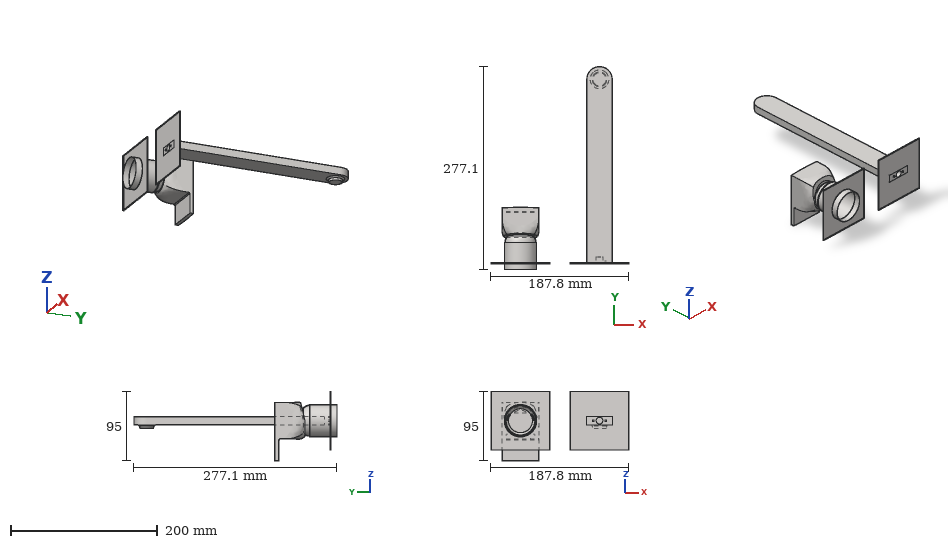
import cadquery as cq
import math


PLATE_SIDE = 80.0
PLATE_THICKNESS = 1.7
PLATE_RECESS = 1.0
PLATE_RIM = 0.15
PLATE_SPACING = 107.8

SLEEVE_RADIUS = 22.2
SLEEVE_WALL = 0.5
SLEEVE_BACK = -8.0
SLEEVE_FRONT = 29.5
NECK_STEP = 0.8
DOME_RADIUS = 12.2
DOME_LENGTH = 11.0
NECK_FLOOR_RADIUS = 16.4

HEAD_FRONT = 76.5
HEAD_SIDE = 50
HEAD_DEPTH = 40.7
HEAD_BACK_RADIUS = 21.5
CORNER_DEPTH = 11.6
FLAT_DEPTH = 25.0
WAIST_DEPTH = 34.5
WAIST_HALF_WIDTH = 25.2
WAIST_CORNER = 20.0
CROWN_HEIGHT = 0.8
BACK_TILT = 13.3
NECK_POCKET_RADIUS = 19.5
NECK_POCKET_DEPTH = 2.2

BLADE_BOTTOM = -55.0
BLADE_THICKNESS = 5.0
BLADE_FILLET = 1.5

SPOUT_WIDTH = 35.0
SPOUT_HEIGHT = 11.0
SPOUT_TIP = 269.1
AERATOR_PROFILE = [(12.8, 0), (10.0, 2.0), (9.1, 5.0)]

INLET_DIAMETER = 9.1
INLET_DEPTH = 8.3
SCREW_HOLE_DIAMETER = 2.5
SCREW_HOLE_DEPTH = 2.8
SCREW_HOLE_OFFSET = 8.5

HEAD_HALF = HEAD_SIDE / 2
HEAD_BACK = HEAD_FRONT - HEAD_DEPTH


def square_slab(side, thickness):
    """Square slab centred on the Y axis, from Y = 0 forward."""
    return cq.Workplane("XY").box(side, thickness, side, centered=(True, False, True))


def wall_plate():
    """Square tray standing on Y = 0, centred on the Y axis."""
    recess = square_slab(PLATE_SIDE - 2 * PLATE_RIM, PLATE_RECESS)
    return square_slab(PLATE_SIDE, PLATE_THICKNESS).cut(recess)


def cylinder_y(radius, y_start, y_end, x=0):
    """Cylinder along Y between two Y positions."""
    axis_point = cq.Vector(x, y_start, 0)
    return cq.Workplane(cq.Solid.makeCylinder(radius, y_end - y_start, axis_point, cq.Vector(0, 1, 0)))


def domed_plug(inset, floor_y):
    """Sleeve-shaped solid with a rounded front, shrunk by an inset and ended flat at floor_y."""
    sleeve = SLEEVE_RADIUS - inset
    neck = sleeve - NECK_STEP
    sleeve_front = SLEEVE_FRONT - inset
    arc_radius = DOME_RADIUS - inset
    arc_centre = neck - arc_radius

    def arc_point(y):
        rise = y - sleeve_front
        return (arc_centre + math.sqrt(arc_radius**2 - rise**2), y)

    return (
        cq.Workplane("XY")
        .moveTo(0, SLEEVE_BACK)
        .lineTo(sleeve, SLEEVE_BACK)
        .lineTo(sleeve, sleeve_front)
        .lineTo(neck, sleeve_front)
        .threePointArc(arc_point((sleeve_front + floor_y) / 2), arc_point(floor_y))
        .lineTo(0, floor_y)
        .close()
        .revolve(360, (0, 0, 0), (0, 1, 0))
    )


def neck_bore():
    """Inside of the sleeve and dome, down to its flat floor."""
    arc_radius = DOME_RADIUS - SLEEVE_WALL
    drop = SLEEVE_RADIUS - SLEEVE_WALL - NECK_STEP - NECK_FLOOR_RADIUS
    floor_rise = math.sqrt(arc_radius**2 - (arc_radius - drop) ** 2)
    return domed_plug(SLEEVE_WALL, SLEEVE_FRONT - SLEEVE_WALL + floor_rise)


def head_blend():
    """Lever head before its back is cut: four flat sides, each ending in a curved blend."""
    back_corner = HEAD_BACK_RADIUS / math.sqrt(2)

    def at(x, depth, z):
        return cq.Vector(x, HEAD_FRONT - depth, z)

    def corner_curve(side):
        points = [
            at(side * HEAD_HALF, CORNER_DEPTH, HEAD_HALF),
            at(side * WAIST_CORNER, WAIST_DEPTH, WAIST_CORNER),
            at(side * back_corner, HEAD_DEPTH, back_corner),
        ]
        return cq.Edge.makeSpline(points)

    left, right = corner_curve(-1), corner_curve(1)
    flat_end = cq.Edge.makeThreePointArc(
        left.startPoint(), at(0, FLAT_DEPTH, HEAD_HALF), right.startPoint()
    )
    back_arc = cq.Edge.makeThreePointArc(
        left.endPoint(), at(0, HEAD_DEPTH, HEAD_BACK_RADIUS), right.endPoint()
    )
    front_left, front_right = at(-HEAD_HALF, 0, HEAD_HALF), at(HEAD_HALF, 0, HEAD_HALF)
    flat_outline = [
        cq.Edge.makeLine(front_left, front_right),
        cq.Edge.makeLine(front_right, right.startPoint()),
        flat_end,
        cq.Edge.makeLine(left.startPoint(), front_left),
    ]
    flat = cq.Face.makeFromWires(cq.Wire.assembleEdges(flat_outline))
    blend = cq.Face.makeNSidedSurface(
        [flat_end, right, back_arc, left], [at(0, WAIST_DEPTH, WAIST_HALF_WIDTH)]
    )

    faces = []
    back_edges = []
    for quarter in range(4):
        turn = (cq.Vector(0, 0, 0), cq.Vector(0, 1, 0), 90 * quarter)
        faces += [flat.rotate(*turn), blend.rotate(*turn)]
        back_edges.append(back_arc.rotate(*turn))
    faces.append(cq.Face.makeFromWires(cq.Wire.assembleEdges(back_edges)))
    front_corners = [front_left, front_right, at(HEAD_HALF, 0, -HEAD_HALF), at(-HEAD_HALF, 0, -HEAD_HALF)]
    faces.append(cq.Face.makeFromWires(cq.Wire.makePolygon(front_corners, close=True)))
    return cq.Workplane(cq.Solid.makeSolid(cq.Shell.makeShell(faces)).fix())


def back_tilt_cutter():
    """Wedge that leans the upper half of the head's back face forward, with a pocket for the neck."""
    wedge_height = HEAD_SIDE
    lean = wedge_height * math.tan(math.radians(BACK_TILT))
    wedge = (
        cq.Workplane("YZ")
        .polyline([(HEAD_BACK, 0), (HEAD_BACK + lean, wedge_height), (HEAD_BACK, wedge_height)])
        .close()
        .extrude(HEAD_SIDE, both=True)
    )
    pocket = cylinder_y(NECK_POCKET_RADIUS, HEAD_BACK, HEAD_BACK + lean).intersect(
        wedge.translate((0, NECK_POCKET_DEPTH, 0))
    )
    return wedge.union(pocket)


def lever():
    """Lever head with its crowned front, and the blade below filleted into it."""
    head = head_blend().cut(back_tilt_cutter())
    blade_back = HEAD_FRONT - BLADE_THICKNESS
    lever_height = HEAD_HALF - BLADE_BOTTOM
    blade = cq.Workplane("XY", origin=(0, blade_back, BLADE_BOTTOM)).box(
        HEAD_SIDE, BLADE_THICKNESS, lever_height, centered=(True, False, False)
    )
    crown = (
        cq.Workplane("XY", origin=(0, 0, BLADE_BOTTOM))
        .moveTo(-HEAD_HALF, HEAD_FRONT)
        .threePointArc((0, HEAD_FRONT + CROWN_HEIGHT), (HEAD_HALF, HEAD_FRONT))
        .close()
        .extrude(lever_height)
    )
    root = (
        cq.Workplane("YZ", origin=(-HEAD_HALF, 0, 0))
        .moveTo(blade_back, -HEAD_HALF)
        .lineTo(blade_back - BLADE_FILLET, -HEAD_HALF)
        .radiusArc((blade_back, -HEAD_HALF - BLADE_FILLET), -BLADE_FILLET)
        .close()
        .extrude(HEAD_SIDE)
    )
    return head.union(blade).union(crown).union(root)


def make_valve():
    """Wall plate, sleeve, neck and lever as one body."""
    outside = domed_plug(0, SLEEVE_FRONT + DOME_LENGTH).union(wall_plate()).union(lever())
    return outside.cut(neck_bore())


def back_hole(diameter, depth, x=0):
    """Tool for a blind hole bored forward from the tray floor."""
    return cylinder_y(diameter / 2, PLATE_RECESS, PLATE_RECESS + depth, x)


def make_spout():
    """Wall plate with the long round-ended spout, its aerator and its back connections."""
    half_width = SPOUT_WIDTH / 2
    tip_centre = SPOUT_TIP - half_width
    bar = (
        cq.Workplane("XY", origin=(0, 0, -SPOUT_HEIGHT / 2))
        .moveTo(-half_width, PLATE_RECESS)
        .lineTo(half_width, PLATE_RECESS)
        .lineTo(half_width, tip_centre)
        .threePointArc((0, SPOUT_TIP), (-half_width, tip_centre))
        .close()
        .extrude(SPOUT_HEIGHT)
    )
    aerator_outline = [(radius, -drop) for radius, drop in AERATOR_PROFILE]
    aerator = (
        cq.Workplane("XZ", origin=(0, tip_centre, -SPOUT_HEIGHT / 2))
        .polyline([(0, 0), *aerator_outline, (0, aerator_outline[-1][1])])
        .close()
        .revolve(360, (0, 0, 0), (0, 1, 0))
    )
    spout = wall_plate().union(bar.union(aerator), clean=False)
    spout = spout.cut(back_hole(INLET_DIAMETER, INLET_DEPTH), clean=False)
    for side in (-1, 1):
        screw_hole = back_hole(SCREW_HOLE_DIAMETER, SCREW_HOLE_DEPTH, side * SCREW_HOLE_OFFSET)
        spout = spout.cut(screw_hole, clean=False)
    return spout.translate((PLATE_SPACING, 0, 0))


valve = make_valve().solids()
spout = make_spout().solids()
result = cq.Compound.makeCompound([valve.val(), spout.val()])